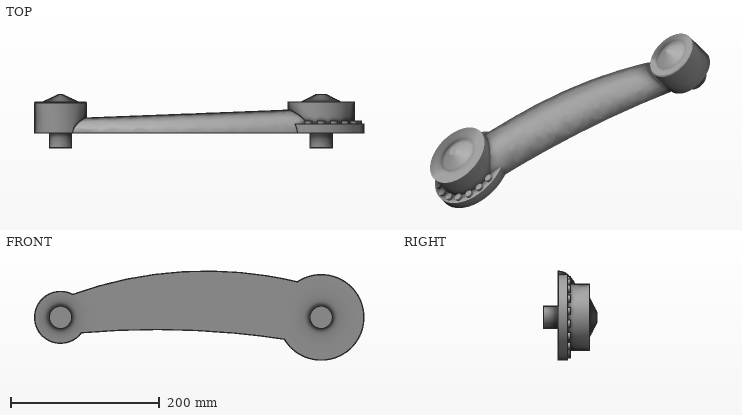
import cadquery as cq
import math

center_distance = 350.0
pin_radius = 15.0
pin_length = 20.0

small_radius = 35.0
small_chamfer = 1.5
small_cone_base_radius = 23.5
small_cone_tip_radius = 1.8

large_radius = 44.5
large_cone_base_radius = 26.0
large_cone_tip_radius = 6.0

boss_height = 42.0
cone_top = 52.0

flange_radius = 57.5
flange_thickness = 12.5
stud_count = 13
stud_spacing = 20
first_stud_angle = -130
stud_radius = 5.0
stud_circle_radius = 50.0
stud_height = 4.0

upper_start, upper_end, upper_bulge = (17.5, 31.5), (316.5, 48.2), 21.5
lower_start, lower_end, lower_bulge = (28.8, -21.0), (298.5, -29.0), 8.0
arm_height_small_end = 19.0
arm_height_large_end = 32.7
arm_setback = 9.0
arm_section_count = 9


def turned(profile, x=0, z=0):
    """Solid of revolution about a Y-parallel axis; profile points are (y, radius)."""
    body = cq.Workplane("YZ").polyline(profile).close()
    return body.revolve(360, (0, 0, 0), (1, 0, 0)).translate((x, 0, z))


def arc_height(x, start, end, bulge):
    """Z at position x on the upward-bulging arc over the chord from start to end."""
    dx = end[0] - start[0]
    dz = end[1] - start[1]
    chord = math.hypot(dx, dz)
    radius = (chord**2 / 4 + bulge**2) / (2 * bulge)
    drop = radius - bulge
    center_x = (start[0] + end[0]) / 2 + drop * dz / chord
    center_z = (start[1] + end[1]) / 2 - drop * dx / chord
    return center_z + math.sqrt(radius**2 - (x - center_x) ** 2)


def arm_section(x):
    """Closed half ellipse standing on the flat face at position x."""
    top = arc_height(x, upper_start, upper_end, upper_bulge)
    bottom = arc_height(x, lower_start, lower_end, lower_bulge)
    middle = (top + bottom) / 2
    height_gain = arm_height_large_end - arm_height_small_end
    height = arm_height_small_end + height_gain * x / center_distance
    arch = cq.Edge.makeEllipse(
        (top - bottom) / 2,
        height,
        pnt=cq.Vector(x, 0, middle),
        dir=cq.Vector(-1, 0, 0),
        xdir=cq.Vector(0, 0, 1),
        angle1=0,
        angle2=180,
    )
    base = cq.Edge.makeLine(arch.endPoint(), arch.startPoint())
    return cq.Wire.assembleEdges([arch, base])


def arm():
    """Domed arm from the small axis into the large boss."""
    length = center_distance - arm_setback
    last = arm_section_count - 1
    sections = [arm_section(length * i / last) for i in range(arm_section_count)]
    return cq.Workplane(cq.Solid.makeLoft(sections))


def small_end():
    """Chamfered boss with a conical cap and a pin."""
    profile = [
        (-pin_length, 0),
        (-pin_length, pin_radius),
        (0, pin_radius),
        (0, small_radius),
        (boss_height - small_chamfer, small_radius),
        (boss_height, small_radius - small_chamfer),
        (boss_height, small_cone_base_radius),
        (cone_top, small_cone_tip_radius),
        (cone_top, 0),
    ]
    return turned(profile)


def large_end():
    """Flanged boss with a blunt conical cap and a pin."""
    profile = [
        (-pin_length, 0),
        (-pin_length, pin_radius),
        (0, pin_radius),
        (0, flange_radius),
        (flange_thickness, flange_radius),
        (flange_thickness, large_radius),
        (boss_height, large_radius),
        (boss_height, large_cone_base_radius),
        (cone_top, large_cone_tip_radius),
        (cone_top, 0),
    ]
    return turned(profile, center_distance)


def stud(angle):
    """Round stud on the flange; the angle is measured from +X toward +Z, in degrees."""
    x = center_distance + stud_circle_radius * math.cos(math.radians(angle))
    z = stud_circle_radius * math.sin(math.radians(angle))
    top = flange_thickness + stud_height
    profile = [(0, 0), (0, stud_radius), (top, stud_radius), (top, 0)]
    return turned(profile, x, z)


result = arm().union(small_end()).union(large_end())
for index in range(stud_count):
    result = result.union(stud(first_stud_angle + index * stud_spacing))